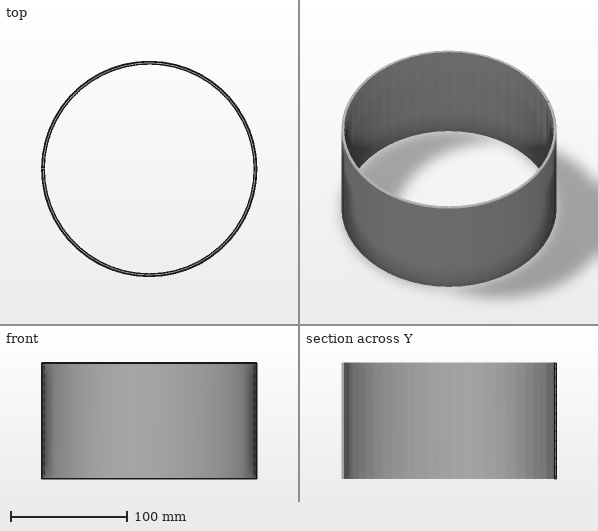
import cadquery as cq

outer_diameter = 185.0
height = 100.0
wall = 2.4
slit_width = 1.3
rim_chamfer = 0.5

outer_radius = outer_diameter / 2
inner_radius = outer_radius - wall

blank = cq.Workplane("XY").workplane(offset=-height / 2).circle(outer_radius).extrude(height)
chamfered_blank = blank.faces("|Z").edges().chamfer(rim_chamfer)
bore = cq.Workplane("XY").workplane(offset=-height / 2).circle(inner_radius).extrude(height)
sleeve = chamfered_blank.cut(bore)

slit = (
    cq.Workplane("XY")
    .box(outer_radius, slit_width, height, centered=(False, False, True))
    .translate((-outer_radius, 0, 0))
)

result = sleeve.cut(slit)